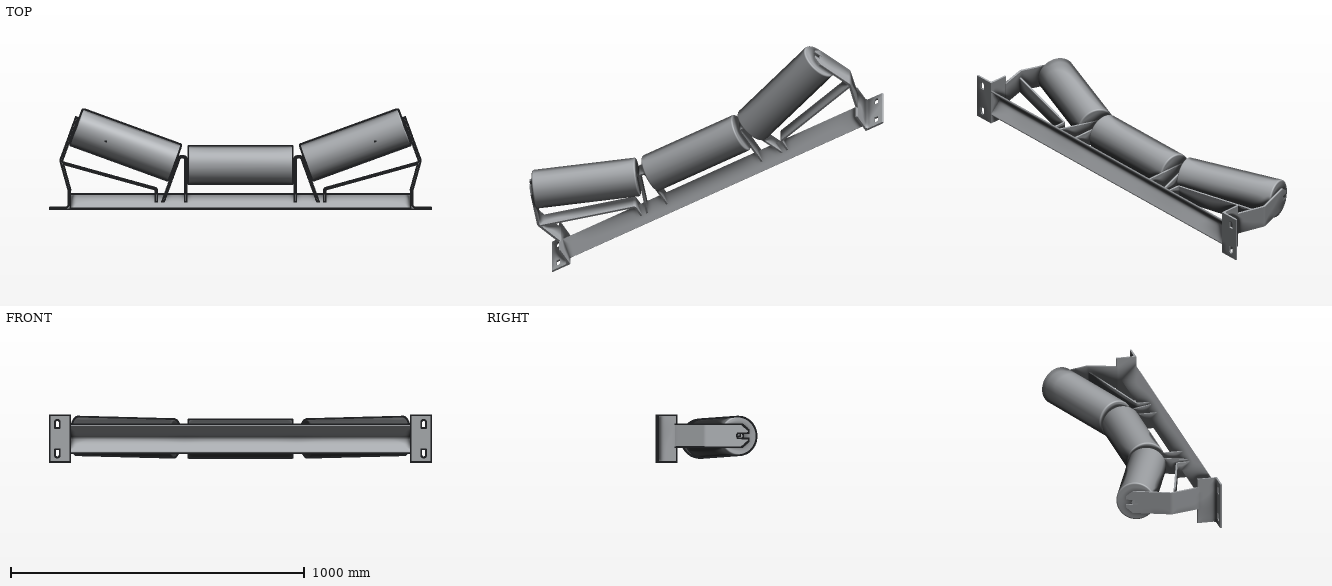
import cadquery as cq
import math

overall_length = 1300.0

angle_leg = 70.0
angle_wall = 6.0
angle_root_radius = 9.0
angle_toe_radius = 3.2

foot_height = 160.0
bolt_slot_width = 15.0
bolt_slot_length = 27.0
bolt_slot_inset = 26.0
bolt_slot_spacing = 100.0

roller_diameter = 133.0
roller_length = 358.0
roller_edge_radius = 5.0
axle_diameter = 23.0
axle_flat_width = 18.0
middle_roller_y = 151.0
wing_roller_x = 391.0
wing_roller_y = 220.0
wing_roller_z = 5.0
trough_angle = 20.0
wing_tilt = 1.4
saddle_gap = 4.0
arm_gap = 5.0

arm_thickness = 8.0
arm_width = 78.0
arm_center_z = 10.0
arm_bend_radius = 12.0
arm_lower_angle = 15.5
arm_knee_y = 166.0
arm_tip_rise = 31.0
arm_tip_chamfer_along = 23.0
arm_tip_chamfer_across = 20.0

strip_thickness = 6.0
strip_width = 55.0
strip_bend_radius = 5.0
strip_base_y = 13.0
saddle_top_y = 182.0
brace_foot_x = 283.0
brace_drop = 8.0

foot_inner_x = overall_length / 2 - angle_leg
beam_apex_y = (angle_leg + angle_wall - angle_toe_radius * (2 - math.sqrt(2))) / math.sqrt(2)
trough_tan = math.tan(math.radians(trough_angle))
trough_cos = math.cos(math.radians(trough_angle))
trough_sin = math.sin(math.radians(trough_angle))
saddle_reach = roller_length / 2 + saddle_gap
saddle_back = saddle_reach + strip_thickness
arm_reach = roller_length / 2 + arm_gap
arm_back = arm_reach + arm_thickness


def wing_point(outward, upward):
    """Plan point of the right wing, measured along and square to its roller axis."""
    x = wing_roller_x + outward * trough_cos - upward * trough_sin
    y = wing_roller_y + outward * trough_sin + upward * trough_cos
    return (x, y)


def on_wing(body, tilt=wing_tilt):
    """Move a body built along X about the origin onto the right wing roller axis."""
    return (
        body.rotate((0, 0, 0), (0, 1, 0), -tilt)
        .rotate((0, 0, 0), (0, 0, 1), trough_angle)
        .translate((wing_roller_x, wing_roller_y, wing_roller_z))
    )


def mirrored(body):
    """The left-hand copy of a right-hand body."""
    return body.mirror("YZ")


def angle_section(length):
    section = (
        cq.Workplane("XY")
        .polyline([
            (0, 0), (angle_leg, 0), (angle_leg, angle_wall),
            (angle_wall, angle_wall), (angle_wall, angle_leg), (0, angle_leg),
        ])
        .close()
        .extrude(length)
    )
    rounded_corners = [
        (angle_wall, angle_wall, angle_root_radius),
        (angle_leg, angle_wall, angle_toe_radius),
        (angle_wall, angle_leg, angle_toe_radius),
    ]
    for x, y, radius in rounded_corners:
        edge = cq.selectors.NearestToPointSelector((x, y, length / 2))
        section = section.edges(edge).fillet(radius)
    return section


def offset_path(path, distance):
    """Shift an open path sideways (left of travel is positive), with mitred corners."""
    headings = [math.atan2(b[1] - a[1], b[0] - a[0]) for a, b in zip(path, path[1:])]
    shifted = []
    for i, (x, y) in enumerate(path):
        before = headings[max(i - 1, 0)]
        after = headings[min(i, len(headings) - 1)]
        normal = (before + after) / 2 + math.pi / 2
        reach = distance / math.cos((after - before) / 2)
        shifted.append((x + reach * math.cos(normal), y + reach * math.sin(normal)))
    return shifted


def bent_strip(face_path, thickness, bend_radius, width, center_z):
    """Strip with one face on face_path and its thickness to the left, the side it bends toward."""
    back_path = offset_path(face_path, thickness)
    strip = (
        cq.Workplane("XY")
        .workplane(offset=center_z - width / 2)
        .polyline(face_path + back_path[::-1])
        .close()
        .extrude(width)
    )
    for path, radius in ((face_path, bend_radius + thickness), (back_path, bend_radius)):
        for corner in path[1:-1]:
            bend = cq.selectors.NearestToPointSelector((*corner, center_z))
            strip = strip.edges(bend).fillet(radius)
    return strip


def make_beam():
    return (
        angle_section(2 * foot_inner_x)
        .translate((0, 0, -foot_inner_x))
        .rotate((0, 0, 0), (0, 0, 1), 135)
        .rotate((0, 0, 0), (1, 1, 1), 120)
        .translate((0, beam_apex_y, 0))
    )


def make_beam_wedge():
    """Solid wedge under the two outer faces of the beam, for trimming strip ends."""
    return (
        cq.Workplane("YZ")
        .polyline([(beam_apex_y, 0), (0, beam_apex_y), (0, -beam_apex_y)])
        .close()
        .extrude(foot_inner_x, both=True)
    )


def make_saddle():
    face_x, face_y = wing_point(-saddle_reach, 0)
    path = [
        (face_x + (face_y - strip_base_y) * trough_tan, strip_base_y),
        (face_x - (saddle_top_y - face_y) * trough_tan, saddle_top_y),
        (saddle_reach, saddle_top_y),
        (saddle_reach, strip_base_y),
    ]
    return bent_strip(path, strip_thickness, strip_bend_radius, strip_width, 0)


def arm_path():
    tip = wing_point(arm_back, arm_tip_rise)
    knee_x = tip[0] + (tip[1] - arm_knee_y) * trough_tan
    base_x = foot_inner_x + angle_wall
    base_y = arm_knee_y - (knee_x - base_x) / math.tan(math.radians(arm_lower_angle))
    return [(base_x, base_y), (knee_x, arm_knee_y), tip]


def make_tip_corner(side):
    """Triangular prism that chamfers one corner of the arm tip."""
    edge_z = arm_center_z - wing_roller_z + side * arm_width / 2
    corner = (
        cq.Workplane("YZ")
        .polyline([
            (arm_tip_rise - arm_tip_chamfer_along, edge_z),
            (arm_tip_rise, edge_z - side * arm_tip_chamfer_across),
            (arm_tip_rise, edge_z),
        ])
        .close()
        .extrude(2 * arm_reach)
    )
    return on_wing(corner, tilt=0)


def make_arm_slot():
    """Open slot above the axle; it is longer and deeper than the arm tip it cuts."""
    slot = cq.Workplane("XY").box(
        4 * arm_thickness, 2 * arm_tip_rise, axle_flat_width, centered=(True, False, True)
    )
    return on_wing(slot.translate((arm_reach, 0, 0)))


def make_arm():
    arm = bent_strip(arm_path(), arm_thickness, arm_bend_radius, arm_width, arm_center_z)
    for side in (-1, 1):
        arm = arm.cut(make_tip_corner(side))
    return arm.cut(make_arm_slot())


def make_brace():
    slope = math.radians(arm_lower_angle)
    knee_x, knee_y = arm_path()[1]
    start_x = knee_x - brace_drop * math.sin(slope) - arm_thickness * math.cos(slope)
    start_y = knee_y - brace_drop * math.cos(slope) + arm_thickness * math.sin(slope)
    bend_y = start_y - (start_x - brace_foot_x) * math.tan(slope)
    path = [(start_x, start_y), (brace_foot_x, bend_y), (brace_foot_x, strip_base_y)]
    return bent_strip(path, strip_thickness, strip_bend_radius, strip_width, 0)


def make_bolt_slot(side):
    """Slot with a round end away from the beam and a square end toward it."""
    slot_x = overall_length / 2 - bolt_slot_inset
    outer_z = side * (bolt_slot_spacing + bolt_slot_length) / 2
    inner_z = side * (bolt_slot_spacing - bolt_slot_length) / 2
    half_width = bolt_slot_width / 2
    shoulder_z = outer_z - side * half_width
    return (
        cq.Workplane("XZ")
        .moveTo(slot_x - half_width, inner_z)
        .lineTo(slot_x - half_width, shoulder_z)
        .threePointArc((slot_x, outer_z), (slot_x + half_width, shoulder_z))
        .lineTo(slot_x + half_width, inner_z)
        .close()
        .extrude(-angle_wall)
    )


def make_foot():
    foot = angle_section(foot_height).translate((foot_inner_x, 0, -foot_height / 2))
    for side in (-1, 1):
        foot = foot.cut(make_bolt_slot(side))
    return foot


def make_axle(inner_end, outer_end):
    """Round inside the roller, with two flats on each end."""
    end_to_end = outer_end - inner_end
    rod = cq.Workplane("YZ").circle(axle_diameter / 2).extrude(end_to_end)
    flats = cq.Workplane("YZ").rect(axle_diameter, axle_flat_width).extrude(end_to_end)
    flattened = rod.intersect(flats).translate((inner_end, 0, 0))
    round_part = cq.Workplane("YZ").circle(axle_diameter / 2).extrude(roller_length)
    return flattened.union(round_part.translate((-roller_length / 2, 0, 0)))


def make_roller():
    drum = cq.Workplane("YZ").circle(roller_diameter / 2).extrude(roller_length)
    bore = cq.Workplane("YZ").circle(axle_diameter / 2).extrude(roller_length)
    roller = drum.edges().fillet(roller_edge_radius).cut(bore)
    return roller.translate((-roller_length / 2, 0, 0))


middle_place = (0, middle_roller_y, 0)
middle_roller = make_roller().translate(middle_place)
middle_axle = make_axle(-saddle_back, saddle_back).translate(middle_place)
wing_roller = on_wing(make_roller())
wing_axle = on_wing(make_axle(-saddle_back, arm_back))

beam_wedge = make_beam_wedge()
saddle = make_saddle().cut(beam_wedge).cut(middle_axle).cut(wing_axle)
frame = make_beam().union(saddle).union(mirrored(saddle))

arm = make_arm().cut(wing_axle)
brace = make_brace().cut(beam_wedge)
end_support = make_foot().union(arm).union(brace)

bodies = [frame.val(), middle_roller.val(), middle_axle.val()]
for body in (end_support, wing_roller, wing_axle):
    bodies.append(body.val())
    bodies.append(mirrored(body).val())

result = cq.Compound.makeCompound(bodies)